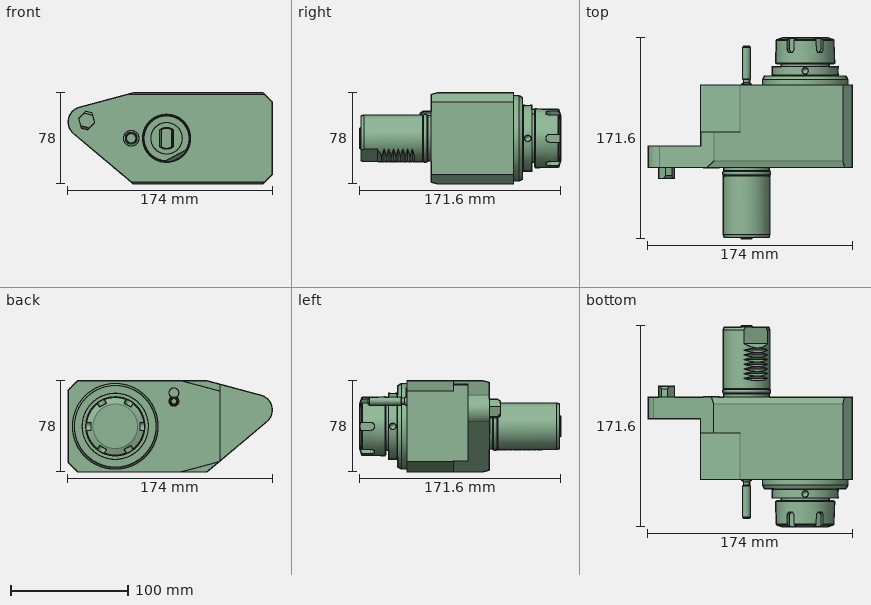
import cadquery as cq
import math


HALF_HEIGHT = 39.0
RIGHT_X = 90.1
LEFT_X = -39.3
DEPTH = 70.3
FRONT_LAYER = 30.5
CORNER_CHAMFER = 8.2
BEVEL_DEPTH = 5.7
BEVEL_DROP = 1.5
SHOULDER_Z = 30.0
UPPER_SLOPE = 15
LOWER_SLOPE = 40
NOTCH = 0.7

ARM_LEFT_X = -83.9
ARM_RADIUS = 13.0
ARM_Z = 14.0
ARM_THICKNESS = 18.5
ARM_X = ARM_LEFT_X + ARM_RADIUS

HEAD_X, HEAD_Z = -68.0, 15.1
HEAD_HEIGHT = 9.4
HEAD_SIDE_APOTHEM = 6.1
HEAD_END_APOTHEM = 7.5
HEAD_TILT = 16
HEAD_BEVEL_RADIAL = 2.0
HEAD_BEVEL_AXIAL = 2.5

PLUG_X = -30.1
PLUG_RADIUS = 6.6
PLUG_PROUD = 0.5
PLUG_MOUTH_RADIUS = 5.0
PLUG_BORE_RADIUS = 4.0
PLUG_MOUTH_DEPTH = 0.7
PLUG_BORE_DEPTH = 2.6

SHANK_RADIUS = 20.0
SHANK_END_Y = -59.7
SHANK_CHAMFER_LENGTH = 2.5
SHANK_CHAMFER_DROP = 0.9
RELIEF_RADIUS = 19.5
RELIEF_END_Y = -2.5
COLLAR_RADIUS = 19.8
COLLAR_END_Y = -3.5
SEAL_BULGE = 0.5
SEAL_END_Y = -6.3
GROOVE_RADIUS = 18.1
GROOVE_END_Y = -7.3
BORE_RADIUS = 13.4
BORE_DEPTH = 8.7

FLAT_DISTANCE = 16.5
FLAT_RAMP = 3.7
FLAT_ANGLE = -62
TOOTH_PITCH = 4.0
TOOTH_COUNT = 7
TEETH_START_Y = -14.0

TONGUE_END_Y = -60.9
TONGUE_WIDTH = 9.7
TONGUE_ROOT_WIDTH = 11.7
TONGUE_ROOT_LENGTH = 1.7
TONGUE_RADIUS = 9.2
TONGUE_CHAMFER = 0.7

SPINDLE_X = 50.0
FLANGE_RADIUS = 36.5
FLANGE_STRAIGHT = 4.5
FLANGE_TOP_RADIUS = 34.8
FLANGE_TOP = 7.8
GAP_RADIUS = 27.0
RING_BOTTOM = 8.5
RING_RADIUS = 28.2
RING_TOP = 15.7
NECK_RADIUS = 20.5
NUT_BOTTOM = 17.7
NUT_RADIUS = 25.2
NUT_CHAMFER = 1.0
NUT_SHOULDER_RADIUS = 24.9
NUT_SHOULDER = 37.8
NUT_RIM_RADIUS = 24.5
NUT_RIM = 38.6
NUT_FACE_RADIUS = 19.0
NUT_TOP = 40.4
SLOT_COUNT = 6
SLOT_WIDTH = 6.8
SLOT_LENGTH = 12.9
SLOT_FLOOR = 20.9
SPANNER_HOLE_COUNT = 4
SPANNER_HOLE_RADIUS = 2.8
SPANNER_HOLE_DEPTH = 2.8

PIN_Z = 21.4
PIN_RADIUS = 3.5
PIN_LENGTH = 33.0
PIN_CHAMFER = 1.0
PIN_SHOULDER = 5.2
PIN_NECK_RADIUS = 2.8
PIN_FOOT_RADIUS = 4.2
PIN_FOOT_HEIGHT = 2.0
BUTTON_Z = 28.5
BUTTON_RADIUS = 4.2
BUTTON_HEIGHT = 0.9

OVERLAP = 1.7


def prism(outline, y_start, y_end):
    """Extrude an XZ outline between two Y positions."""
    return outline.extrude(y_start - y_end).translate((0, y_start, 0))


def turned(profile, x=0.0, y=0.0, z=0.0):
    """Revolve a (radius, y) profile about an axis parallel to Y."""
    return profile.close().revolve(360, (0, 0, 0), (0, 1, 0)).translate((x, y, z))


def turned_points(points, x=0.0, y=0.0, z=0.0):
    """Revolve a profile made of straight lines."""
    return turned(cq.Workplane("XY").polyline(points), x, y, z)


def right_end(outline):
    """Continue an outline from the top edge round the chamfered right end to the bottom edge."""
    return (
        outline
        .lineTo(RIGHT_X - CORNER_CHAMFER, HALF_HEIGHT)
        .lineTo(RIGHT_X, HALF_HEIGHT - CORNER_CHAMFER)
        .lineTo(RIGHT_X, -HALF_HEIGHT + CORNER_CHAMFER)
        .lineTo(RIGHT_X - CORNER_CHAMFER, -HALF_HEIGHT)
    )


def arm_outline():
    """Outline of the front layer, and the height of its upper slope where the notch begins."""
    upper_angle = math.radians(90 + UPPER_SLOPE)
    lower_angle = math.radians(270 - LOWER_SLOPE)
    top_x = ARM_X + ARM_RADIUS * math.cos(upper_angle)
    top_z = ARM_Z + ARM_RADIUS * math.sin(upper_angle)
    low_x = ARM_X + ARM_RADIUS * math.cos(lower_angle)
    low_z = ARM_Z + ARM_RADIUS * math.sin(lower_angle)
    top_corner_x = top_x + (HALF_HEIGHT - top_z) / math.tan(math.radians(UPPER_SLOPE))
    low_corner_x = low_x + (HALF_HEIGHT + low_z) / math.tan(math.radians(LOWER_SLOPE))
    outline = (
        cq.Workplane("XZ")
        .moveTo(low_x, low_z)
        .threePointArc((ARM_LEFT_X, ARM_Z), (top_x, top_z))
        .lineTo(top_corner_x, HALF_HEIGHT)
    )
    notch_z = top_z + (LEFT_X + NOTCH - top_x) * math.tan(math.radians(UPPER_SLOPE))
    return right_end(outline).lineTo(low_corner_x, -HALF_HEIGHT).close(), notch_z


def make_housing():
    """Front layer with the arm, the block behind it, and the bevelled front edges."""
    shoulder_run = (HALF_HEIGHT - SHOULDER_Z) / math.tan(math.radians(UPPER_SLOPE))
    outline, notch_z = arm_outline()
    front = prism(outline, 0, FRONT_LAYER)

    clearance = (
        cq.Workplane("XZ")
        .moveTo(ARM_LEFT_X - OVERLAP, -HALF_HEIGHT)
        .lineTo(LEFT_X, -HALF_HEIGHT)
        .lineTo(LEFT_X, notch_z - NOTCH)
        .lineTo(LEFT_X + NOTCH, notch_z)
        .lineTo(LEFT_X + NOTCH, HALF_HEIGHT)
        .lineTo(ARM_LEFT_X - OVERLAP, HALF_HEIGHT)
        .close()
    )
    front = front.cut(prism(clearance, ARM_THICKNESS, FRONT_LAYER))

    back_outline = (
        cq.Workplane("XZ")
        .moveTo(LEFT_X, -SHOULDER_Z)
        .lineTo(LEFT_X, SHOULDER_Z)
        .lineTo(LEFT_X + shoulder_run, HALF_HEIGHT)
    )
    back_outline = right_end(back_outline).lineTo(LEFT_X + shoulder_run, -HALF_HEIGHT).close()
    housing = front.union(prism(back_outline, FRONT_LAYER, DEPTH))

    bevel = (
        cq.Workplane("YZ")
        .polyline([
            (0, HALF_HEIGHT - BEVEL_DROP),
            (BEVEL_DEPTH, HALF_HEIGHT),
            (0, HALF_HEIGHT),
        ])
        .close()
        .extrude(RIGHT_X - ARM_LEFT_X)
        .translate((ARM_LEFT_X, 0, 0))
    )
    return housing.cut(bevel).cut(bevel.mirror("XY"))


def make_screw_head():
    """Hexagonal head, long across one pair of flats; those flats are bevelled at the free end."""
    half_flat = (2 * HEAD_SIDE_APOTHEM - HEAD_END_APOTHEM) * math.tan(math.radians(30))
    corner = HEAD_SIDE_APOTHEM / math.cos(math.radians(30))
    head = prism(
        cq.Workplane("XZ").polyline([
            (corner, 0),
            (half_flat, HEAD_END_APOTHEM),
            (-half_flat, HEAD_END_APOTHEM),
            (-corner, 0),
            (-half_flat, -HEAD_END_APOTHEM),
            (half_flat, -HEAD_END_APOTHEM),
        ]).close(),
        -HEAD_HEIGHT,
        OVERLAP,
    )
    bevelled_side = (
        cq.Workplane("YZ")
        .polyline([
            (OVERLAP, -HEAD_END_APOTHEM),
            (OVERLAP, HEAD_END_APOTHEM),
            (HEAD_BEVEL_AXIAL - HEAD_HEIGHT, HEAD_END_APOTHEM),
            (-HEAD_HEIGHT, HEAD_END_APOTHEM - HEAD_BEVEL_RADIAL),
            (-HEAD_HEIGHT, HEAD_BEVEL_RADIAL - HEAD_END_APOTHEM),
            (HEAD_BEVEL_AXIAL - HEAD_HEIGHT, -HEAD_END_APOTHEM),
        ])
        .close()
        .extrude(corner, both=True)
    )
    head = head.intersect(bevelled_side)
    head = head.rotate((0, 0, 0), (0, 1, 0), 90 - (60 + HEAD_TILT))
    return head.translate((HEAD_X, 0, HEAD_Z))


def make_plug():
    """Raised disc, and the stepped blind recess to sink into it."""
    plug = turned_points(
        [(0, -PLUG_PROUD), (PLUG_RADIUS, -PLUG_PROUD), (PLUG_RADIUS, OVERLAP), (0, OVERLAP)],
        x=PLUG_X,
    )
    mouth_floor = PLUG_MOUTH_DEPTH - PLUG_PROUD
    bore_floor = PLUG_BORE_DEPTH - PLUG_PROUD
    recess = turned_points(
        [
            (0, -PLUG_PROUD),
            (PLUG_MOUTH_RADIUS, -PLUG_PROUD),
            (PLUG_MOUTH_RADIUS, mouth_floor),
            (PLUG_BORE_RADIUS, mouth_floor),
            (PLUG_BORE_RADIUS, bore_floor),
            (0, bore_floor),
        ],
        x=PLUG_X,
    )
    return plug, recess


def make_serration():
    """Cutter for the flat at the shank tip and the V-grooves behind it."""
    outer = SHANK_RADIUS + OVERLAP
    flat_start_y = TEETH_START_Y - TOOTH_COUNT * TOOTH_PITCH
    outline = cq.Workplane("XY").moveTo(outer, TEETH_START_Y).lineTo(SHANK_RADIUS, TEETH_START_Y)
    for tooth in range(TOOTH_COUNT):
        groove_y = TEETH_START_Y - tooth * TOOTH_PITCH
        outline = outline.lineTo(FLAT_DISTANCE, groove_y - TOOTH_PITCH / 2)
        outline = outline.lineTo(SHANK_RADIUS, groove_y - TOOTH_PITCH)
    cutter = (
        outline
        .lineTo(FLAT_DISTANCE, flat_start_y - FLAT_RAMP)
        .lineTo(FLAT_DISTANCE, SHANK_END_Y - OVERLAP)
        .lineTo(outer, SHANK_END_Y - OVERLAP)
        .close()
        .extrude(SHANK_RADIUS, both=True)
    )
    return cutter.rotate((0, 0, 0), (0, 1, 0), -FLAT_ANGLE)


def make_shank():
    seal_middle_y = (COLLAR_END_Y + SEAL_END_Y) / 2
    profile = (
        cq.Workplane("XY")
        .moveTo(0, OVERLAP)
        .lineTo(RELIEF_RADIUS, OVERLAP)
        .lineTo(RELIEF_RADIUS, RELIEF_END_Y)
        .lineTo(COLLAR_RADIUS, RELIEF_END_Y)
        .lineTo(COLLAR_RADIUS, COLLAR_END_Y)
        .lineTo(SHANK_RADIUS, COLLAR_END_Y)
        .threePointArc((SHANK_RADIUS + SEAL_BULGE, seal_middle_y), (SHANK_RADIUS, SEAL_END_Y))
        .lineTo(GROOVE_RADIUS, SEAL_END_Y)
        .lineTo(GROOVE_RADIUS, GROOVE_END_Y)
        .lineTo(SHANK_RADIUS, GROOVE_END_Y)
        .lineTo(SHANK_RADIUS, SHANK_END_Y + SHANK_CHAMFER_LENGTH)
        .lineTo(SHANK_RADIUS - SHANK_CHAMFER_DROP, SHANK_END_Y)
        .lineTo(0, SHANK_END_Y)
    )
    bore_floor_y = SHANK_END_Y + BORE_DEPTH
    bore = prism(cq.Workplane("XZ").circle(BORE_RADIUS), SHANK_END_Y, bore_floor_y)
    return turned(profile).cut(make_serration()).cut(bore).union(make_tongue(bore_floor_y))


def make_tongue(bore_floor_y):
    """Blade with rounded, chamfered ends, stepping out to a wider root."""
    root_start_y = bore_floor_y - TONGUE_ROOT_LENGTH
    root_end_y = bore_floor_y + OVERLAP
    blade = round_ended_blade(TONGUE_WIDTH, TONGUE_END_Y, root_end_y)
    root = round_ended_blade(TONGUE_ROOT_WIDTH, root_start_y, root_end_y)
    return blade.faces("<Y").chamfer(TONGUE_CHAMFER).union(root)


def round_ended_blade(width, y_start, y_end):
    """Flat bar whose top and bottom follow the tongue circle."""
    bar = prism(cq.Workplane("XZ").circle(TONGUE_RADIUS), y_start, y_end)
    slab = prism(cq.Workplane("XZ").rect(width, 2 * TONGUE_RADIUS), y_start, y_end)
    return bar.intersect(slab)


def around_spindle(cutter, count):
    """Copies of a cutter, made on the +X side of the spindle axis, spread evenly round it."""
    return [
        cutter.rotate((0, 0, 0), (0, 1, 0), index * 360 / count).translate((SPINDLE_X, DEPTH, 0))
        for index in range(count)
    ]


def make_spindle():
    """Flange, spanner ring, neck and slotted collet nut on one axis."""
    spindle = turned_points(
        [
            (0, -OVERLAP),
            (FLANGE_RADIUS, -OVERLAP),
            (FLANGE_RADIUS, FLANGE_STRAIGHT),
            (FLANGE_TOP_RADIUS, FLANGE_TOP),
            (GAP_RADIUS, FLANGE_TOP),
            (GAP_RADIUS, RING_BOTTOM),
            (RING_RADIUS, RING_BOTTOM),
            (RING_RADIUS, RING_TOP),
            (NECK_RADIUS, RING_TOP),
            (NECK_RADIUS, NUT_BOTTOM),
            (NUT_RADIUS - NUT_CHAMFER, NUT_BOTTOM),
            (NUT_RADIUS, NUT_BOTTOM + NUT_CHAMFER),
            (NUT_SHOULDER_RADIUS, NUT_SHOULDER),
            (NUT_RIM_RADIUS, NUT_RIM),
            (NUT_FACE_RADIUS, NUT_TOP),
            (0, NUT_TOP),
        ],
        x=SPINDLE_X,
        y=DEPTH,
    )
    slot_end_y = NUT_TOP - SLOT_LENGTH
    slot = (
        cq.Workplane("YZ")
        .moveTo(NUT_TOP + OVERLAP, -SLOT_WIDTH / 2)
        .lineTo(slot_end_y + SLOT_WIDTH / 2, -SLOT_WIDTH / 2)
        .threePointArc((slot_end_y, 0), (slot_end_y + SLOT_WIDTH / 2, SLOT_WIDTH / 2))
        .lineTo(NUT_TOP + OVERLAP, SLOT_WIDTH / 2)
        .close()
        .extrude(NUT_RADIUS)
        .translate((SLOT_FLOOR, 0, 0))
    )
    spanner_hole = cq.Workplane(cq.Solid.makeCone(
        SPANNER_HOLE_RADIUS,
        0,
        SPANNER_HOLE_DEPTH,
        pnt=cq.Vector(RING_RADIUS, (RING_BOTTOM + RING_TOP) / 2, 0),
        dir=cq.Vector(-1, 0, 0),
    ))
    cutters = around_spindle(slot, SLOT_COUNT) + around_spindle(spanner_hole, SPANNER_HOLE_COUNT)
    for cutter in cutters:
        spindle = spindle.cut(cutter)
    return spindle


def make_pin():
    neck_step = PIN_RADIUS - PIN_NECK_RADIUS
    return turned_points(
        [
            (0, -OVERLAP),
            (PIN_FOOT_RADIUS, -OVERLAP),
            (PIN_FOOT_RADIUS, 0),
            (PIN_NECK_RADIUS, PIN_FOOT_HEIGHT),
            (PIN_NECK_RADIUS, PIN_SHOULDER - neck_step),
            (PIN_RADIUS, PIN_SHOULDER),
            (PIN_RADIUS, PIN_LENGTH - PIN_CHAMFER),
            (PIN_RADIUS - PIN_CHAMFER, PIN_LENGTH),
            (0, PIN_LENGTH),
        ],
        y=DEPTH,
        z=PIN_Z,
    )


def make_button():
    button = prism(cq.Workplane("XZ").circle(BUTTON_RADIUS), DEPTH - OVERLAP, DEPTH + BUTTON_HEIGHT)
    return button.translate((0, 0, BUTTON_Z))


plug, plug_recess = make_plug()
result = (
    make_housing()
    .union(make_screw_head())
    .union(plug)
    .cut(plug_recess)
    .union(make_shank())
    .union(make_spindle())
    .union(make_pin())
    .union(make_button())
)